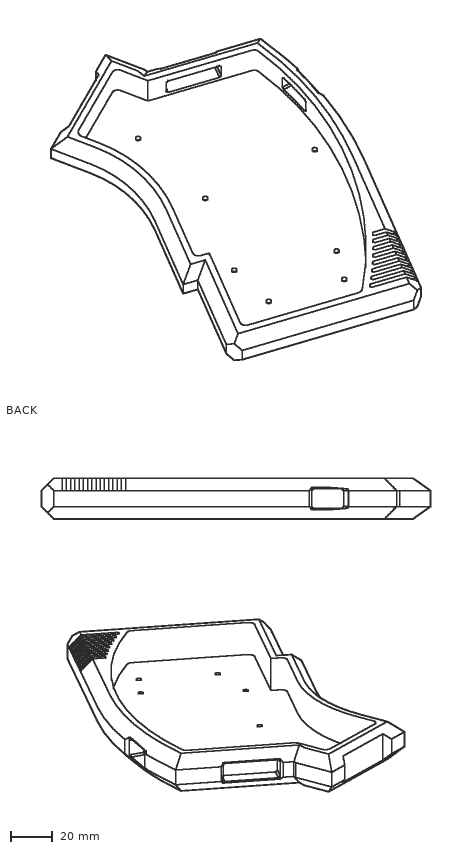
import cadquery as cq
import math

height = 19.5
bevel = 6.0
rim_width = 3.2
floor_thickness = 3.0
wall = bevel + rim_width

right_x = 185.4
back_y = 138.3
left_x = 16.1
bend_x = 100.0
outer_arc_radius = 165.5
arc_center_y = back_y - outer_arc_radius
front_y = 32.3
inner_arc_radius = front_y - arc_center_y
step_x = 139.4
step_y = 39.7

arm_half = math.sqrt(0.5)
inner_arc_end = (bend_x - inner_arc_radius * arm_half,
                 arc_center_y + inner_arc_radius * arm_half)
arm_front_tip = (inner_arc_end[0] - inner_arc_end[1], 0)
arm_left_tip = (0, arm_front_tip[0])
arm_root_x = 14.6
arm_root = (arm_root_x, arm_root_x + arm_left_tip[1])
left_bottom = (left_x, 58.5)
left_top = (left_x, 115.8)
outer_arc_end_x = 21.9

cavity_corner_radius = 3.0

hole_diameter = 2.5
hole_points = [(79.0, 120.7), (138.5, 110.3), (155.3, 108.0), (155.3, 69.9),
               (132.5, 60.6), (88.2, 61.9), (44.3, 43.7)]

window_height = 9.3
window_corner = 1.0
window_depth = 12.0
window_lip = 1.0
left_window_y = 78.8
left_window_width = 27.8
left_window_flare = 1.1
arc_window_x = 47.6
arc_window_width = 17.8
arc_window_flare = 1.1
arc_window_angle = -76

arm_pocket_depth = 3.0
arm_pocket_floor = 33.4

vent_count = 8
vent_span = 28.2
vent_width = 2.0
vent_first_x = 146.2
vent_gap = 3.3
vent_floor = height - bevel


def arc_y(radius, x):
    """Y on the rear side of a circle about the common arc centre."""
    return arc_center_y + math.sqrt(radius**2 - (x - bend_x)**2)


def arc_middle(radius, x_start, x_end):
    """A point of the rear arc between two X positions."""
    x = (x_start + x_end) / 2
    return (x, arc_y(radius, x))


def front_arc_middle(radius):
    """Middle of the front arc, which turns from 90 to 135 degrees about the common centre."""
    angle = math.radians((90 + 135) / 2)
    return (bend_x + radius * math.cos(angle), arc_center_y + radius * math.sin(angle))


def plan_outline():
    return (
        cq.Workplane("XY")
        .moveTo(*arm_left_tip)
        .lineTo(*arm_front_tip)
        .lineTo(*inner_arc_end)
        .threePointArc(front_arc_middle(inner_arc_radius), (bend_x, front_y))
        .lineTo(step_x, front_y)
        .lineTo(step_x, step_y)
        .lineTo(right_x, step_y)
        .lineTo(right_x, back_y)
        .lineTo(bend_x, back_y)
        .threePointArc(arc_middle(outer_arc_radius, bend_x, outer_arc_end_x),
                       (outer_arc_end_x, arc_y(outer_arc_radius, outer_arc_end_x)))
        .lineTo(*left_top)
        .lineTo(*left_bottom)
        .lineTo(*arm_root)
        .close()
    )


def bevelled_body():
    body = plan_outline().extrude(height).faces("<Z or >Z").chamfer(bevel)
    corner_cuts = (
        cq.Workplane("XY")
        .pushPoints([(right_x, back_y), (right_x, step_y)])
        .polygon(4, 2 * bevel)
        .extrude(height)
    )
    return body.cut(corner_cuts)


def cavity():
    radius = outer_arc_radius - wall
    front_radius = inner_arc_radius + wall
    left = left_x + wall
    right = right_x - wall
    diagonal = wall / arm_half
    left_tip = (diagonal, arm_left_tip[1])
    front_tip = (arm_front_tip[0], diagonal)
    arc_end = (bend_x - front_radius * arm_half, arc_center_y + front_radius * arm_half)
    pocket = (
        cq.Workplane("XY", origin=(0, 0, floor_thickness))
        .moveTo(*left_tip)
        .lineTo(*front_tip)
        .lineTo(*arc_end)
        .threePointArc(front_arc_middle(front_radius), (bend_x, front_y + wall))
        .lineTo(step_x - wall, front_y + wall)
        .lineTo(step_x - wall, step_y + wall)
        .lineTo(right, step_y + wall)
        .lineTo(right, arc_y(radius, right))
        .threePointArc((bend_x, arc_center_y + radius), (left, arc_y(radius, left)))
        .lineTo(left, left + left_tip[1] - left_tip[0])
        .close()
        .extrude(height)
    )
    corners = [left_tip, front_tip, (step_x - wall, front_y + wall), (right, step_y + wall),
               (right, arc_y(radius, right)), (left, arc_y(radius, left))]
    for x, y in corners:
        corner = cq.selectors.NearestToPointSelector((x, y, floor_thickness + height / 2))
        pocket = pocket.edges("|Z").edges(corner).fillet(cavity_corner_radius)
    return pocket


def screw_holes():
    return cq.Workplane("XY").pushPoints(hole_points).circle(hole_diameter / 2).extrude(height)


def window(point, inward_angle, width, flare):
    """Window with cut corners and a flared mouth; local X runs inwards from the outer face."""
    throat = (
        cq.Workplane("XY")
        .box(2 * window_depth, width, window_height)
        .edges("|X").chamfer(window_corner)
    )
    throat_y = width / 2
    wide_y = throat_y + 2 * flare
    end_flare = (
        cq.Workplane("XY")
        .polyline([(-flare, wide_y), (flare, throat_y), (window_depth, throat_y),
                   (window_depth, -throat_y), (flare, -throat_y), (-flare, -wide_y)])
        .close()
        .extrude(height, both=True)
    )
    throat_z = window_height / 2
    lip_rise = window_lip * math.sin(math.radians(45))
    lip_end = throat_z + bevel - height / 2 + window_lip
    lip_start = lip_end + lip_rise - window_lip
    mouth_z = throat_z + lip_rise
    lip_flare = (
        cq.Workplane("XZ")
        .polyline([(-flare, mouth_z), (lip_start, mouth_z), (lip_end, throat_z),
                   (lip_end, -throat_z), (lip_start, -mouth_z), (-flare, -mouth_z)])
        .close()
        .extrude(wide_y, both=True)
    )
    return (
        throat.union(end_flare.intersect(lip_flare))
        .rotate((0, 0, 0), (0, 0, 1), inward_angle)
        .translate((point[0], point[1], height / 2))
    )


def windows():
    left_point = (left_x, left_window_y)
    arc_point = (arc_window_x, arc_y(outer_arc_radius, arc_window_x))
    left = window(left_point, 0, left_window_width, left_window_flare)
    return left.union(window(arc_point, arc_window_angle, arc_window_width, arc_window_flare))


def arm_pocket():
    half_floor = arm_pocket_floor / 2
    half_mouth = half_floor + arm_pocket_depth
    return (
        cq.Workplane("XY")
        .polyline([(arm_pocket_depth, -half_floor), (arm_pocket_depth, half_floor),
                   (0, half_mouth), (-half_mouth, half_mouth),
                   (-half_mouth, -half_mouth), (0, -half_mouth)])
        .close()
        .extrude(height)
        .rotate((0, 0, 0), (0, 0, 1), 45)
        .translate((arm_front_tip[0] / 2, arm_left_tip[1] / 2, 0))
    )


def vents():
    keep_out = outer_arc_radius - wall + vent_gap
    end_radius = vent_width / 2
    pitch = vent_span / (vent_count - 1)
    slots = cq.Workplane("XY")
    for index in range(vent_count):
        x = vent_first_x + index * pitch
        end_y = arc_y(keep_out, x)
        slot = (
            cq.Workplane("XY", origin=(x, end_y + end_radius, vent_floor))
            .circle(end_radius)
            .extrude(bevel)
            .union(
                cq.Workplane("XY", origin=(x, end_y + end_radius, vent_floor))
                .box(vent_width, back_y - end_y, bevel, centered=(True, False, False))
            )
        )
        slots = slots.union(slot)
    return slots


result = (
    bevelled_body()
    .cut(cavity())
    .cut(screw_holes())
    .cut(windows())
    .cut(arm_pocket())
    .cut(vents())
)